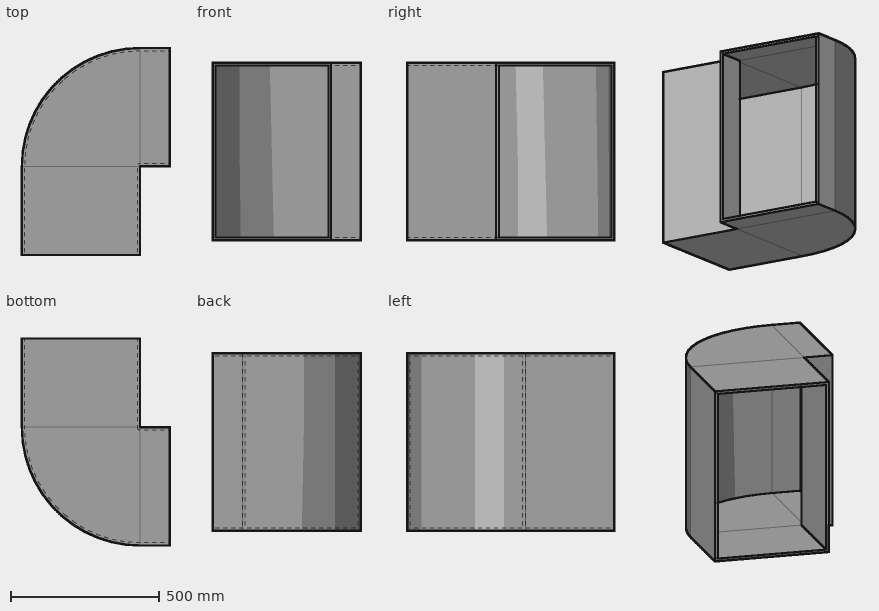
import cadquery as cq

total_length = 700.0
duct_width = total_length * 4 / 7
duct_height = total_length * 6 / 7
inlet_length = total_length - duct_width
outlet_length = total_length / 7
wall = 10.0
bend_angle = 90


def duct_section(plane, side):
    """Hollow rectangular duct outline, one width to the given side of the bend axis."""
    return (
        cq.Workplane(plane)
        .center(side * duct_width / 2, 0)
        .rect(duct_width, duct_height)
        .rect(duct_width - 2 * wall, duct_height - 2 * wall)
    )


inlet = duct_section("XZ", -1).extrude(inlet_length)

bend = duct_section("XZ", -1).revolve(bend_angle, (duct_width / 2, 7, 0), (duct_width / 2, 0, 0))

outlet = duct_section("YZ", 1).extrude(outlet_length)

result = inlet.union(bend, clean=False).union(outlet, clean=False)